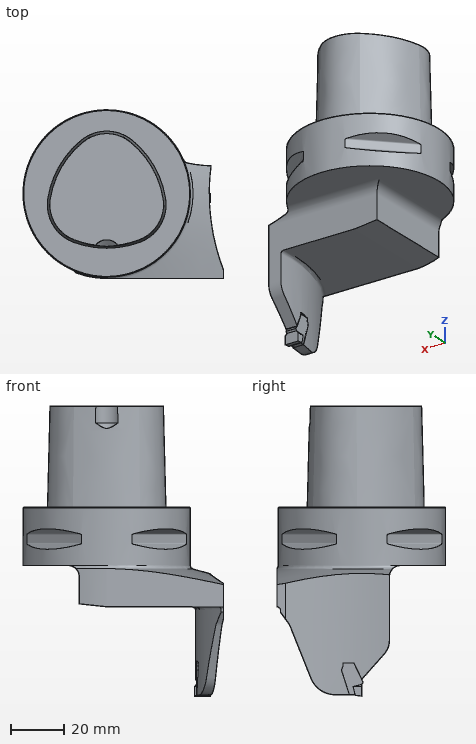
import cadquery as cq
import math


TOTAL_LENGTH_X = 75.44
TOTAL_HEIGHT = 109.1

FLANGE_RADIUS = 31.5
FLANGE_HEIGHT = 22.0
FLANGE_CHAMFER = 0.3

NOTCH_COUNT = 4
NOTCH_FIRST_ANGLE = 45.0
NOTCH_FLOOR_DISTANCE = 27.95
NOTCH_FLOOR_WIDTH = 3.6
NOTCH_WALL_ANGLE = 30.0
NOTCH_FLOOR_FILLET = 0.6
NOTCH_Z = -12.0

SHANK_HEIGHT = 38.0
SHANK_LOBE_REACH = 23.45
SHANK_FLAT_REACH = 20.6
SHANK_LOBE_RADIUS = 15.1
SHANK_TAPER = math.degrees(math.atan(1 / 40))
SHANK_LOBES = 3

KEY_RADIUS = 5.2
KEY_Y = -22.6
KEY_DEPTH = 6.3
KEY_CONE_HEIGHT = 4.4

ARM_FRONT_Y = -32.0
ARM_BACK_Y = 10.4
ARM_LEFT_X = -10.4
ARM_RIGHT_X = TOTAL_LENGTH_X - FLANGE_RADIUS
ARM_BOTTOM_Z = -37.5
ARM_BOTTOM_SLOPE = 6.0
ARM_FLARE_RADIUS = 4.0
ARM_CONE_SLOPE = 15.0
ARM_TOP_DROP = 1.0

BLADE_INNER_X = 33.35
BLADE_INNER_Y = 4.0
BLADE_INNER_RADIUS = 67.0
BLADE_OUTER_X = 38.6
BLADE_OUTER_RADIUS = 80.0
BLADE_BOTTOM_Z = -70.6
BLADE_ROOT_FILLET = 1.3
BLADE_BACK_CORNER = (ARM_BACK_Y, -53.0)
BLADE_BACK_CORNER_RADIUS = 8.0
BLADE_TIP_Y = 0.0
BLADE_TIP_Z = -64.7
BLADE_FRONT_CORNER = (-16.7, BLADE_BOTTOM_Z)
BLADE_FRONT_CORNER_RADIUS = 10.0
BLADE_NECK = (-27.3, -44.1)
BLADE_NECK_RADIUS = 4.0
BLADE_SHOULDER = (-30.65, -39.5)

INSERT_MIDDLE_X = 36.0
INSERT_SHANK_WIDTH = 4.5
INSERT_EDGE_WIDTH = 6.0
INSERT_TIP_Z = SHANK_HEIGHT - TOTAL_HEIGHT
INSERT_TOP_Z = -58.6
INSERT_TOP_BACK_Y = -3.0
INSERT_TOP_FRONT_Y = -7.1
INSERT_RAKE_Z = -66.6
INSERT_HEAD_TOP_Z = -67.5
INSERT_OUTLINE = [
    (INSERT_TOP_BACK_Y, INSERT_TOP_Z),
    (INSERT_TOP_FRONT_Y, INSERT_TOP_Z),
    (INSERT_TOP_FRONT_Y, -59.8),
    (-7.7, -61.2),
    (-4.7, BLADE_BOTTOM_Z),
    (BLADE_TIP_Y, BLADE_BOTTOM_Z),
    (BLADE_TIP_Y, INSERT_RAKE_Z),
    (0.5, -65.9),
    (-0.1, BLADE_TIP_Z),
]
HEAD_FLANK = [(-3.3, INSERT_HEAD_TOP_Z), (-2.5, -70.8), (BLADE_TIP_Y, INSERT_TIP_Z)]
HEAD_ROOT = [(BLADE_TIP_Y, INSERT_RAKE_Z)] + HEAD_FLANK
HEAD_OUTLINE = [(BLADE_TIP_Y, INSERT_HEAD_TOP_Z)] + HEAD_FLANK

SEAT_MOUTH_X = 34.0
SEAT_MOUTH_RISE = 0.7

OVERSIZE = 100.0


def polar(radius, angle):
    """Point at a radius and an angle in degrees."""
    a = math.radians(angle)
    return (radius * math.cos(a), radius * math.sin(a))


def yz_prism(points, x_start, length):
    """Prism along +X from a closed Y, Z outline."""
    return cq.Workplane("YZ", origin=(x_start, 0, 0)).polyline(points).close().extrude(length)


def shank_outline():
    """Base section of the shank, six tangent arcs with one lobe pointing to +Y."""
    lobe_offset = SHANK_LOBE_REACH - SHANK_LOBE_RADIUS
    spare = SHANK_FLAT_REACH - SHANK_LOBE_RADIUS
    flat_offset = (lobe_offset**2 - spare**2) / (2 * spare - lobe_offset)
    pitch = 360 / SHANK_LOBES

    def joint(lobe_angle, opposite_angle):
        """Point where a lobe arc meets the flat arc centred toward opposite_angle."""
        lobe = polar(lobe_offset, lobe_angle)
        flat = polar(flat_offset, opposite_angle)
        dx = lobe[0] - flat[0]
        dy = lobe[1] - flat[1]
        reach = SHANK_LOBE_RADIUS / math.hypot(dx, dy)
        return (lobe[0] + dx * reach, lobe[1] + dy * reach)

    outline = cq.Workplane("XY").moveTo(*joint(90, 90 + pitch))
    for i in range(SHANK_LOBES):
        lobe_angle = 90 + i * pitch
        next_lobe = lobe_angle + pitch
        lobe_tip = polar(SHANK_LOBE_REACH, lobe_angle)
        outline = outline.threePointArc(lobe_tip, joint(lobe_angle, lobe_angle - pitch))
        flat_middle = polar(SHANK_FLAT_REACH, lobe_angle + pitch / 2)
        outline = outline.threePointArc(flat_middle, joint(next_lobe, next_lobe + pitch))
    return outline.close()


def make_shank():
    shank = shank_outline().extrude(SHANK_HEIGHT, taper=SHANK_TAPER)
    key = (
        cq.Workplane("XZ")
        .moveTo(0, SHANK_HEIGHT)
        .lineTo(KEY_RADIUS, SHANK_HEIGHT)
        .lineTo(KEY_RADIUS, SHANK_HEIGHT - KEY_DEPTH)
        .lineTo(0, SHANK_HEIGHT - KEY_DEPTH - KEY_CONE_HEIGHT)
        .close()
        .revolve(360, (0, 0, 0), (0, 1, 0))
        .translate((0, KEY_Y, 0))
    )
    return shank.cut(key)


def make_flange():
    flange = cq.Workplane("XY").circle(FLANGE_RADIUS).extrude(-FLANGE_HEIGHT)
    flange = flange.faces(">Z").edges().chamfer(FLANGE_CHAMFER)
    depth = FLANGE_RADIUS - NOTCH_FLOOR_DISTANCE
    half_floor = NOTCH_FLOOR_WIDTH / 2
    half_mouth = half_floor + depth * math.tan(math.radians(NOTCH_WALL_ANGLE))
    notch = (
        cq.Workplane("XZ")
        .polyline([
            (NOTCH_FLOOR_DISTANCE, NOTCH_Z - half_floor),
            (FLANGE_RADIUS, NOTCH_Z - half_mouth),
            (FLANGE_RADIUS, NOTCH_Z + half_mouth),
            (NOTCH_FLOOR_DISTANCE, NOTCH_Z + half_floor),
        ])
        .close()
        .extrude(FLANGE_RADIUS, both=True)
    )
    notch = notch.faces("<X").edges("|Y").fillet(NOTCH_FLOOR_FILLET)
    for i in range(NOTCH_COUNT):
        angle = NOTCH_FIRST_ANGLE + i * 360 / NOTCH_COUNT
        flange = flange.cut(notch.rotate((0, 0, 0), (0, 0, 1), angle))
    return flange


def vertical_cylinder(x, y, radius):
    """Cylinder reaching from the flange top down past the tool tip."""
    return cq.Workplane("XY", origin=(x, y, 0)).circle(radius).extrude(-OVERSIZE)


def outer_cylinder():
    """Cylinder that hollows the +X end of the arm and blade."""
    return vertical_cylinder(BLADE_OUTER_X + BLADE_OUTER_RADIUS, 0, BLADE_OUTER_RADIUS)


def make_arm():
    top = -FLANGE_HEIGHT
    height = top - ARM_BOTTOM_Z
    flare_x = ARM_LEFT_X - ARM_FLARE_RADIUS
    flare_y = ARM_BACK_Y + ARM_FLARE_RADIUS
    flare_z = top - ARM_FLARE_RADIUS
    plan_radius = -ARM_FRONT_Y
    plan_left_y = -math.sqrt(plan_radius**2 - flare_x**2)
    plan_angle = (math.degrees(math.atan2(plan_left_y, flare_x)) - 90) / 2
    plan = (
        cq.Workplane("XY", origin=(0, 0, top))
        .moveTo(0, ARM_FRONT_Y)
        .lineTo(ARM_RIGHT_X, ARM_FRONT_Y)
        .lineTo(ARM_RIGHT_X, flare_y)
        .lineTo(flare_x, flare_y)
        .lineTo(flare_x, plan_left_y)
        .threePointArc(polar(plan_radius, plan_angle), (0, ARM_FRONT_Y))
        .close()
        .extrude(-height)
    )
    arc = ARM_FLARE_RADIUS * math.sqrt(0.5)
    left_z = ARM_BOTTOM_Z - ARM_LEFT_X * math.tan(math.radians(ARM_BOTTOM_SLOPE))
    front_profile = (
        cq.Workplane("XZ")
        .moveTo(flare_x, top)
        .threePointArc((flare_x + arc, flare_z + arc), (ARM_LEFT_X, flare_z))
        .lineTo(ARM_LEFT_X, left_z)
        .lineTo(0, ARM_BOTTOM_Z)
        .lineTo(ARM_RIGHT_X, ARM_BOTTOM_Z)
        .lineTo(ARM_RIGHT_X, top)
        .close()
        .extrude(OVERSIZE, both=True)
    )
    side_profile = (
        cq.Workplane("YZ")
        .moveTo(flare_y, top)
        .threePointArc((flare_y - arc, flare_z + arc), (ARM_BACK_Y, flare_z))
        .lineTo(ARM_BACK_Y, ARM_BOTTOM_Z)
        .lineTo(ARM_FRONT_Y, ARM_BOTTOM_Z)
        .lineTo(ARM_FRONT_Y, top)
        .close()
        .extrude(OVERSIZE, both=True)
    )
    slope = math.radians(ARM_CONE_SLOPE)
    cone_radius = 2 * FLANGE_RADIUS
    corner_z = top - ARM_TOP_DROP
    fillet_radius = ARM_TOP_DROP / math.tan((math.pi / 2 - slope) / 2)
    fillet_x = FLANGE_RADIUS + fillet_radius
    middle = math.pi + (math.pi / 2 - slope) / 2
    fillet_middle = (fillet_x + fillet_radius * math.cos(middle), top + fillet_radius * math.sin(middle))
    fillet_end = (FLANGE_RADIUS + ARM_TOP_DROP * math.cos(slope), corner_z - ARM_TOP_DROP * math.sin(slope))
    cap = (
        cq.Workplane("XZ")
        .moveTo(0, top)
        .lineTo(FLANGE_RADIUS, top)
        .threePointArc(fillet_middle, fillet_end)
        .lineTo(cone_radius, corner_z - (cone_radius - FLANGE_RADIUS) * math.tan(slope))
        .lineTo(cone_radius, ARM_BOTTOM_Z)
        .lineTo(0, ARM_BOTTOM_Z)
        .close()
        .revolve(360, (0, 0, 0), (0, 1, 0))
    )
    arm = plan.intersect(front_profile).intersect(side_profile).intersect(cap)
    return arm.cut(outer_cylinder())


def make_blade():
    root_z = ARM_BOTTOM_Z
    profile = (
        cq.Workplane("YZ")
        .polyline([
            (BLADE_SHOULDER[0], root_z),
            (ARM_BACK_Y, root_z),
            BLADE_BACK_CORNER,
            (BLADE_TIP_Y, BLADE_TIP_Z),
            (BLADE_TIP_Y, BLADE_BOTTOM_Z),
            BLADE_FRONT_CORNER,
            BLADE_NECK,
            BLADE_SHOULDER,
        ])
        .close()
        .extrude(ARM_RIGHT_X)
    )
    for (y, z), radius in (
        (BLADE_BACK_CORNER, BLADE_BACK_CORNER_RADIUS),
        (BLADE_FRONT_CORNER, BLADE_FRONT_CORNER_RADIUS),
        (BLADE_NECK, BLADE_NECK_RADIUS),
    ):
        profile = profile.edges(cq.NearestToPointSelector((ARM_RIGHT_X / 2, y, z))).fillet(radius)
    inner = vertical_cylinder(BLADE_INNER_X + BLADE_INNER_RADIUS, BLADE_INNER_Y, BLADE_INNER_RADIUS)
    return profile.intersect(inner).cut(outer_cylinder())


def make_insert():
    half_width = INSERT_SHANK_WIDTH / 2
    side_x = INSERT_MIDDLE_X - half_width
    body = yz_prism(INSERT_OUTLINE, side_x, INSERT_SHANK_WIDTH)
    body = body.union(yz_prism(HEAD_ROOT, side_x, INSERT_SHANK_WIDTH))
    overhang = (INSERT_EDGE_WIDTH - INSERT_SHANK_WIDTH) / 2
    for side in (-1, 1):
        ear = (
            cq.Workplane("YZ", origin=(INSERT_MIDDLE_X + side * half_width, 0, 0))
            .polyline(HEAD_ROOT)
            .close()
            .workplane(offset=side * overhang)
            .polyline(HEAD_OUTLINE)
            .close()
            .loft(ruled=True)
        )
        body = body.union(ear)
    return body


def make_seat():
    """Slot through the blade for the insert, with a bevelled mouth on the -X side."""
    seat = yz_prism(INSERT_OUTLINE, 0, ARM_RIGHT_X)
    mouth_z = INSERT_TOP_Z + SEAT_MOUTH_RISE
    mouth = (
        cq.Workplane("XZ", origin=(0, INSERT_TOP_BACK_Y, 0))
        .polyline([
            (0, INSERT_TOP_Z),
            (0, mouth_z),
            (SEAT_MOUTH_X, mouth_z),
            (SEAT_MOUTH_X + SEAT_MOUTH_RISE, INSERT_TOP_Z),
        ])
        .close()
        .extrude(INSERT_TOP_BACK_Y - INSERT_TOP_FRONT_Y)
    )
    return seat.union(mouth)


def make_holder():
    lower = make_arm().union(make_blade())
    margin = 0.1
    root_edges = lower.edges(
        cq.selectors.BoxSelector(
            (ARM_LEFT_X, ARM_FRONT_Y + margin, ARM_BOTTOM_Z - margin),
            (ARM_RIGHT_X - margin, ARM_BACK_Y - margin, ARM_BOTTOM_Z + margin),
        )
    )
    lower = root_edges.fillet(BLADE_ROOT_FILLET)
    holder = make_flange().union(make_shank()).union(lower)
    return holder.cut(make_seat())


holder = make_holder()
insert = make_insert()
result = cq.Compound.makeCompound([*holder.solids().vals(), *insert.solids().vals()])